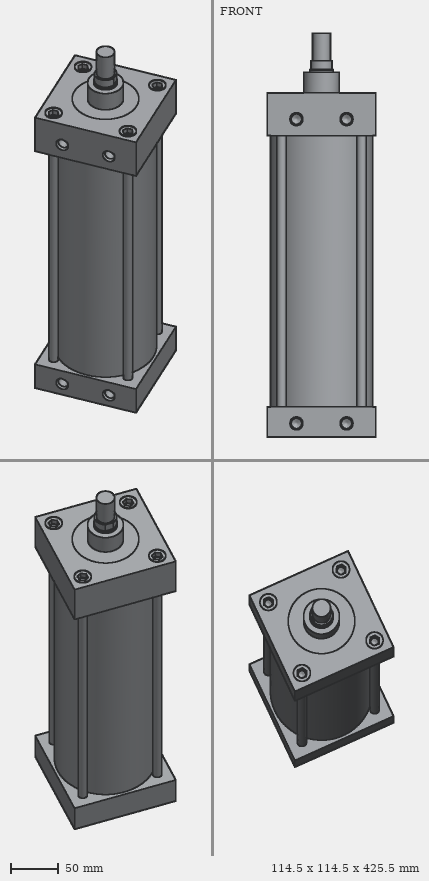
import cadquery as cq

total_length = 425.5
rear_cap_height = 32.0
barrel_length = 285.5
front_cap_height = 45.0
hub_height = 21.5
collar_height = 2.0
shoulder_height = 1.0
flats_height = 9.5

front_cap_bottom = rear_cap_height + barrel_length
front_cap_top = front_cap_bottom + front_cap_height
hub_top = front_cap_top + hub_height
shoulder_bottom = hub_top + collar_height
flats_bottom = shoulder_bottom + shoulder_height
flats_top = flats_bottom + flats_height

cap_side = 114.5
tie_rod_diameter = 9.8
tie_rod_spacing = 84.2

recess_diameter = 18.0
recess_depth = 1.0
socket_width = 9.8
socket_turn = 30
socket_depth = 6.0
socket_tip_diameter = 8.0

mount_hole_diameter = 11.0
mount_hole_depth = 19.0
mount_hole_spacing = 52.8
mount_hole_inset = 17.5
mouth_chamfer_width = 1.3
mouth_chamfer_depth = 3.0

drill_tip_ratio = 0.6

barrel_diameter = 108.0

gland_diameter = 70.0
hub_diameter = 38.0
rod_diameter = 25.0
flats_diameter = 24.0
width_across_flats = 22.0
rod_end_diameter = 19.0


def cylinder(diameter, bottom, top, x=0, y=0):
    """Upright cylinder between two heights."""
    return cq.Workplane("XY", origin=(x, y, bottom)).circle(diameter / 2).extrude(top - bottom)


def cap(bottom, height):
    """Square cap centred on the cylinder axis."""
    return cq.Workplane("XY", origin=(0, 0, bottom)).rect(cap_side, cap_side).extrude(height)


def mount_hole_cutter(x, z):
    """Hole running in from the -Y face of a cap, with a chamfered mouth and a conical bottom."""
    radius = mount_hole_diameter / 2
    profile = (
        cq.Workplane("XY", origin=(x, -cap_side / 2, z))
        .moveTo(0, 0)
        .lineTo(radius + mouth_chamfer_width, 0)
        .lineTo(radius, mouth_chamfer_depth)
        .lineTo(radius, mount_hole_depth)
        .lineTo(0, mount_hole_depth + radius * drill_tip_ratio)
        .close()
    )
    return profile.revolve(360, (0, 0, 0), (0, 1, 0))


def socket_cutter(x, y):
    """Round recess in the front face, then a hexagon socket with a conical bottom."""
    recess_floor = front_cap_top - recess_depth
    socket_floor = recess_floor - socket_depth
    tip_radius = socket_tip_diameter / 2
    recess = cylinder(recess_diameter, recess_floor, front_cap_top, x, y)
    hexagon = (
        cq.Workplane("XY", origin=(x, y, socket_floor))
        .transformed(rotate=(0, 0, socket_turn))
        .polygon(6, socket_width, circumscribed=True)
        .extrude(socket_depth)
    )
    tip_base = cq.Vector(x, y, socket_floor)
    tip_height = tip_radius * drill_tip_ratio
    tip = cq.Workplane(cq.Solid.makeCone(tip_radius, 0, tip_height, tip_base, cq.Vector(0, 0, -1)))
    return recess.union(hexagon).union(tip)


def make_frame():
    """Rear and front caps joined by four tie rods, with their holes and sockets cut."""
    frame = cap(0, rear_cap_height).union(cap(front_cap_bottom, front_cap_height))

    tie_rod_offset = tie_rod_spacing / 2
    for x in (-tie_rod_offset, tie_rod_offset):
        for y in (-tie_rod_offset, tie_rod_offset):
            frame = frame.union(cylinder(tie_rod_diameter, rear_cap_height, front_cap_bottom, x, y))
            frame = frame.cut(socket_cutter(x, y))

    mount_hole_offset = mount_hole_spacing / 2
    for z in (rear_cap_height - mount_hole_inset, front_cap_bottom + mount_hole_inset):
        for x in (-mount_hole_offset, mount_hole_offset):
            frame = frame.cut(mount_hole_cutter(x, z))

    gland_bore = cylinder(gland_diameter, front_cap_bottom, front_cap_top)
    return frame.cut(gland_bore)


def make_barrel():
    """Round barrel held between the caps."""
    return cylinder(barrel_diameter, rear_cap_height, front_cap_bottom)


def make_gland():
    """Rod gland flush with the front cap, with a raised hub and a bore for the rod."""
    disc = cylinder(gland_diameter, front_cap_bottom, front_cap_top)
    hub = cylinder(hub_diameter, front_cap_top, hub_top)
    rod_bore = cylinder(rod_diameter, front_cap_bottom, hub_top)
    return disc.union(hub).cut(rod_bore)


def make_rod():
    """Piston rod: collar with a tapered shoulder, two wrench flats facing +X and -X, and a round end."""
    shank = cylinder(rod_diameter, front_cap_bottom, flats_bottom)
    shoulder_setback = (rod_diameter - flats_diameter) / 2
    shank = shank.faces(">Z").chamfer(shoulder_height, shoulder_setback)

    flats_slab = (
        cq.Workplane("XY", origin=(0, 0, flats_bottom))
        .rect(width_across_flats, flats_diameter)
        .extrude(flats_height)
    )
    flats = cylinder(flats_diameter, flats_bottom, flats_top).intersect(flats_slab)
    rod_end = cylinder(rod_end_diameter, flats_top, total_length)
    return shank.union(flats).union(rod_end)


frame = make_frame()
barrel = make_barrel()
gland = make_gland()
rod = make_rod()

result = cq.Compound.makeCompound([frame.val(), barrel.val(), gland.val(), rod.val()])